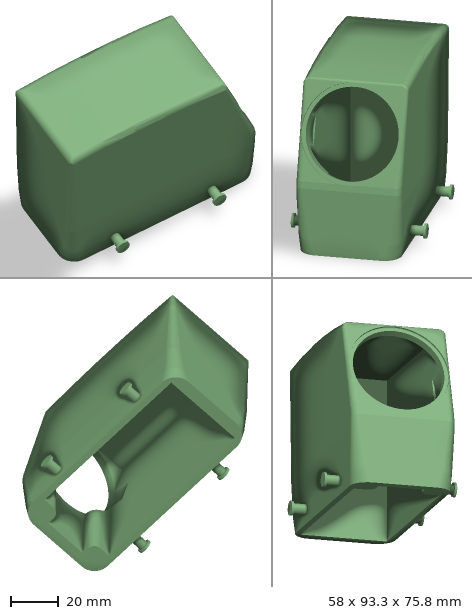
import cadquery as cq
import math

LENGTH = 93.3
HALF_WIDTH = 22.7
CREASE_HALF_WIDTH = 22.2
RIM_HALF_WIDTH = 21.7
END_DRAFT = 0.011
CREASE_Z = 6.9
BELT_Z = 23.6
STOCK_Z = 78.4

BEND_Z = 31.0
BEND_HALF_HEIGHT = 1.5
BEND_START_Z = BEND_Z - BEND_HALF_HEIGHT
BEND_END_Z = BEND_Z + BEND_HALF_HEIGHT
SLOPE_RUN = 0.36

FRONT_RADII = [(0, 7.8), (CREASE_Z, 6.0), (BELT_Z, 4.1), (STOCK_Z, 1.1)]
REAR_RADII = [
    (0, 7.65),
    (CREASE_Z, 6.0),
    (BELT_Z, 3.6),
    (BEND_START_Z, 3.1),
    (BEND_END_Z, 3.0),
    (STOCK_Z, 1.3),
]

ROOF_Z = 75.8
ROOF_RADIUS = 320.0
ROOF_CENTER_Y = -6.3
ROOF_FILLET = 2.9
ROOF_REAR_FILLET = 1.1

ENTRY_Y = 38.5
SEAT_DIAMETER = 43.5
SEAT_DEPTH = 0.8
BORE_DIAMETER = 39.9
BORE_DEPTH = 14.0

END_WALL = 4.5
SIDE_WALL = 2.8
CEILING_Z = 70.0
CAVITY_HALF_WIDTH = RIM_HALF_WIDTH - SIDE_WALL
RAIL_FRONT_Y = 35.1
RAIL_HALF_GAP = 10.1
RAIL_ROUND = 3.7

PIN_SPAN = 58.0
PIN_DIAMETER = 4.3
HEAD_DIAMETER = 6.25
HEAD_THICKNESS = 1.1
PIN_Y = 23.8
PIN_Z = 6.2


def front_y(z):
    return -LENGTH / 2 + END_DRAFT * z


def upright_rear_y(z):
    return LENGTH / 2 - END_DRAFT * z


def slope_y(z):
    return upright_rear_y(BEND_Z) - SLOPE_RUN * (z - BEND_Z)


def rear_y(z):
    return min(upright_rear_y(z), slope_y(z))


def half_width(z):
    """Half width of the hood at the rim, the crease, or the belt and above."""
    if z >= BELT_Z:
        return HALF_WIDTH
    return CREASE_HALF_WIDTH if z >= CREASE_Z else RIM_HALF_WIDTH


def make_front_prism():
    """Block behind the front wall, as wide as the hood and longer than it."""
    outline = [
        (front_y(0), 0),
        (LENGTH, 0),
        (LENGTH, STOCK_Z),
        (front_y(STOCK_Z), STOCK_Z),
    ]
    return cq.Workplane("YZ").polyline(outline).close().extrude(HALF_WIDTH, both=True)


def make_lean_prism():
    """Outline seen along Y: upright walls that lean inwards below the belt."""
    right_wall = [(half_width(z), z) for z in (0, CREASE_Z, BELT_Z, STOCK_Z)]
    left_wall = [(-x, z) for x, z in reversed(right_wall)]
    return cq.Workplane("XZ").polyline(right_wall + left_wall).close().extrude(LENGTH, both=True)


def make_roof_cylinder():
    return (
        cq.Workplane("YZ")
        .center(ROOF_CENTER_Y, ROOF_Z - ROOF_RADIUS)
        .circle(ROOF_RADIUS)
        .extrude(LENGTH, both=True)
    )


def make_corner_envelope(radii, wall_y, far_y):
    """Ruled loft with two upright rounded corners on the wall, reaching square-cut to far_y."""
    toward_far = math.copysign(1, far_y)
    sections = []
    for z, radius in radii:
        wall = wall_y(z)
        x = half_width(z)
        tangent_y = wall + toward_far * radius
        outline = (
            cq.Workplane("XY", origin=(0, 0, z))
            .moveTo(-x, far_y)
            .lineTo(-x, tangent_y)
            .tangentArcPoint((radius - x, wall), relative=False)
            .lineTo(x - radius, wall)
            .tangentArcPoint((x, tangent_y), relative=False)
            .lineTo(x, far_y)
            .close()
        )
        sections.append(outline.val())
    return cq.Workplane(cq.Solid.makeLoft(sections, True))


def make_outer_body():
    body = make_front_prism().intersect(make_lean_prism()).intersect(make_roof_cylinder())
    body = body.faces(">Z").edges("<Y or <X or >X").fillet(ROOF_FILLET)
    body = body.intersect(make_corner_envelope(FRONT_RADII, front_y, LENGTH))
    body = body.intersect(make_corner_envelope(REAR_RADII, rear_y, -LENGTH))
    return body.faces(">Z").edges(">Y").fillet(ROOF_REAR_FILLET)


def make_cavity():
    """Space inside the walls, less the two rails that stand on the rear wall."""
    inner_front_y = front_y(STOCK_Z) + END_WALL
    slope_wall = END_WALL * math.hypot(1, SLOPE_RUN)
    inner_upright_y = rear_y(BEND_START_Z) - END_WALL
    inner_bend_z = BEND_Z - (slope_wall - END_WALL) / SLOPE_RUN
    space = (
        cq.Workplane("YZ")
        .polyline([
            (inner_front_y, 0),
            (inner_upright_y, 0),
            (inner_upright_y, inner_bend_z),
            (slope_y(CEILING_Z) - slope_wall, CEILING_Z),
            (inner_front_y, CEILING_Z),
        ])
        .close()
        .extrude(CAVITY_HALF_WIDTH, both=True)
    )
    rail_width = CAVITY_HALF_WIDTH - RAIL_HALF_GAP
    rail_depth = LENGTH / 2 - RAIL_FRONT_Y
    for side in (-1, 1):
        inner_corner = "<X" if side > 0 else ">X"
        rail = (
            cq.Workplane("XY")
            .center(side * (RAIL_HALF_GAP + rail_width / 2), RAIL_FRONT_Y + rail_depth / 2)
            .rect(rail_width, rail_depth)
            .extrude(STOCK_Z)
            .edges("|Z and <Y")
            .edges(inner_corner)
            .fillet(RAIL_ROUND)
        )
        space = space.cut(rail)
    return space


def make_entry():
    """Cable bore with a shallow seat, both square to the sloped face."""
    face_height = BEND_Z + (upright_rear_y(BEND_Z) - ENTRY_Y) / SLOPE_RUN
    inward = cq.Vector(0, -1, -SLOPE_RUN)
    mouth = cq.Plane(origin=(0, ENTRY_Y, face_height), xDir=(1, 0, 0), normal=inward)
    bore = cq.Workplane(mouth).circle(BORE_DIAMETER / 2).extrude(BORE_DEPTH)
    seat = cq.Workplane(mouth).circle(SEAT_DIAMETER / 2).extrude(SEAT_DEPTH)
    return bore.union(seat)


def make_pin(side, y):
    """Headed pin that stands on one side wall."""
    tip_x = PIN_SPAN / 2
    root_x = CAVITY_HALF_WIDTH + SIDE_WALL / 2
    pin = (
        cq.Workplane("YZ", origin=(root_x, y, PIN_Z))
        .circle(PIN_DIAMETER / 2)
        .extrude(tip_x - root_x)
    )
    head = (
        cq.Workplane("YZ", origin=(tip_x - HEAD_THICKNESS, y, PIN_Z))
        .circle(HEAD_DIAMETER / 2)
        .extrude(HEAD_THICKNESS)
    )
    pin = pin.union(head)
    return pin if side > 0 else pin.mirror("YZ")


result = make_outer_body().cut(make_cavity()).cut(make_entry())
for side in (-1, 1):
    for y in (-PIN_Y, PIN_Y):
        result = result.union(make_pin(side, y))